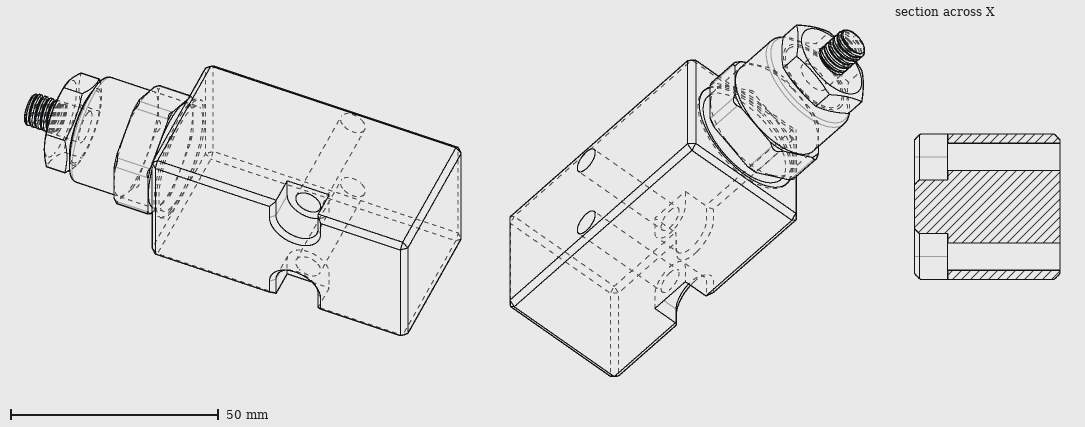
import cadquery as cq
import math


block_length = 67.0
block_side = 35.0
block_chamfer = 1.4

mount_x = 38.0
mount_spacing = 24.0
mount_hole_diameter = 6.5
pocket_width = 11.0
pocket_depth = 8.0
pocket_chamfer = 1.2
pocket_chamfer_angle = 45.0

recess_diameter = 30.0
recess_depth = 0.5

sleeve_diameter = 26.6
sleeve_seat_diameter = 18.2
sleeve_nose_angle = 20.0
sleeve_nose_radius = 1.0

lock_nut_flats = 27.0
lock_nut_width = 9.0
lock_nut_corner_radius = 2.4
lock_nut_gap = 2.2
lock_nut_left_chamfer = 0.7
lock_nut_right_chamfer = 0.35

stud_projection = 8.0
stud_diameter = 8.0
stud_tip_chamfer = 0.55
thread_pitch = 1.5
thread_depth = 0.5
thread_lead_in = 2.1
groove_mouth_width = 1.1
groove_root_width = 0.2
groove_overcut = 0.1

jam_nut_flats = 21.0
jam_nut_width = 6.5
jam_nut_face_diameter = 19.4
jam_nut_chamfer_angle = 19.0

jam_nut_left = -31.0
jam_nut_right = jam_nut_left + jam_nut_width
stud_tip = jam_nut_left - stud_projection
lock_nut_right = -lock_nut_gap
lock_nut_left = lock_nut_right - lock_nut_width


def axial_cylinder(diameter, start, end):
    """Cylinder on the X axis between two X positions."""
    return cq.Workplane("YZ", origin=(start, 0, 0)).circle(diameter / 2).extrude(end - start)


def across_corners(flats):
    """Distance between opposite corners of a hexagon with the given distance across flats."""
    return flats / math.cos(math.pi / 6)


def axial_hexagon(flats, start, end):
    """Hexagonal prism on the X axis, with two flats facing -Y and +Y and corners at -Z and +Z."""
    sketch = cq.Workplane("YZ", origin=(start, 0, 0)).transformed(rotate=(0, 0, 90))
    return sketch.polygon(6, across_corners(flats)).extrude(end - start)


def revolve_about_x(outline):
    """Turned solid from a closed outline of (x, radius) points."""
    return cq.Workplane("XY").polyline(outline).close().revolve(360, (0, 0, 0), (1, 0, 0))


def make_block():
    block = cq.Workplane("XY").box(block_length, block_side, block_side, centered=(False, True, True))
    block = block.edges().chamfer(block_chamfer)
    for side in (-1, 1):
        block = block.cut(mount_cutter(side))
    return block.cut(axial_cylinder(recess_diameter, 0, recess_depth))


def pocket_outline(y, width, side):
    """Round-ended slot outline in the plane Y = y, open to the block's top (1) or bottom (-1)."""
    centre_z = side * mount_spacing / 2
    open_z = side * block_side
    half = width / 2
    plane = cq.Plane(origin=(mount_x, y, 0), xDir=(1, 0, 0), normal=(0, -1, 0))
    return (
        cq.Workplane(plane)
        .moveTo(-half, open_z)
        .lineTo(-half, centre_z)
        .threePointArc((0, centre_z - side * half), (half, centre_z))
        .lineTo(half, open_z)
        .close()
    )


def mount_cutter(side):
    """Material removed for one mounting hole: through hole, pocket and its chamfered mouth."""
    front = -block_side / 2
    back = block_side / 2
    hole = (
        cq.Workplane("XZ", origin=(mount_x, back, side * mount_spacing / 2))
        .circle(mount_hole_diameter / 2)
        .extrude(block_side)
    )
    pocket = pocket_outline(front + pocket_depth, pocket_width, side).extrude(pocket_depth)
    mouth_width = pocket_width + 2 * pocket_chamfer
    mouth = pocket_outline(front, mouth_width, side).extrude(-pocket_chamfer, taper=pocket_chamfer_angle)
    return hole.union(pocket).union(mouth)


def make_sleeve():
    radius = sleeve_diameter / 2
    seat = sleeve_seat_diameter / 2
    nose_end = jam_nut_right + (radius - seat) * math.tan(math.radians(sleeve_nose_angle))
    sleeve = revolve_about_x(
        [
            (jam_nut_right, 0),
            (jam_nut_right, seat),
            (nose_end, radius),
            (recess_depth, radius),
            (recess_depth, 0),
        ]
    )
    rim = sleeve.faces("%CONE").edges("%CIRCLE").edges(">X")
    return rim.fillet(sleeve_nose_radius)


def make_lock_nut():
    blank = axial_hexagon(lock_nut_flats, lock_nut_left, lock_nut_right)
    blank = blank.edges("|X").fillet(lock_nut_corner_radius)
    sharp_corner = across_corners(lock_nut_flats) / 2
    rounding_loss = across_corners(lock_nut_corner_radius) - lock_nut_corner_radius
    corner = sharp_corner - rounding_loss
    envelope = revolve_about_x(
        [
            (lock_nut_left, 0),
            (lock_nut_left, corner - lock_nut_left_chamfer),
            (lock_nut_left + lock_nut_left_chamfer, corner),
            (lock_nut_right - lock_nut_right_chamfer, corner),
            (lock_nut_right, corner - lock_nut_right_chamfer),
            (lock_nut_right, 0),
        ]
    )
    return blank.intersect(envelope).cut(axial_cylinder(sleeve_diameter, lock_nut_left, lock_nut_right))


def make_jam_nut():
    face = jam_nut_face_diameter / 2
    rim = across_corners(jam_nut_flats) / 2
    slope = (rim - face) * math.tan(math.radians(jam_nut_chamfer_angle))
    blank = axial_hexagon(jam_nut_flats, jam_nut_left, jam_nut_right)
    envelope = revolve_about_x(
        [
            (jam_nut_left, 0),
            (jam_nut_left, face),
            (jam_nut_left + slope, rim),
            (jam_nut_right - slope, rim),
            (jam_nut_right, face),
            (jam_nut_right, 0),
        ]
    )
    return blank.intersect(envelope).cut(axial_cylinder(stud_diameter, jam_nut_left, jam_nut_right))


def thread_groove():
    """Right-handed helical V groove that starts ahead of the stud tip and ends at the jam nut."""
    start = stud_tip - thread_lead_in
    groove_length = thread_lead_in + stud_projection + thread_pitch
    radius = stud_diameter / 2
    root_depth = -thread_depth
    half_mouth = groove_mouth_width / 2
    half_root = groove_root_width / 2
    axis = cq.Vector(1, 0, 0)
    helix = cq.Wire.makeHelix(thread_pitch, groove_length, radius, cq.Vector(start, 0, 0), axis)
    start_point = helix.startPoint()
    outward = cq.Vector(0, start_point.y, start_point.z)
    section = (
        cq.Workplane(cq.Plane(origin=start_point, xDir=axis, normal=axis.cross(outward)))
        .moveTo(-half_mouth, groove_overcut)
        .lineTo(half_mouth, groove_overcut)
        .lineTo(half_root, root_depth)
        .lineTo(-half_root, root_depth)
        .close()
    )
    groove = section.sweep(cq.Workplane(helix), isFrenet=True)
    return groove.intersect(axial_cylinder(2 * stud_diameter, start, jam_nut_left))


def make_stud():
    stud = axial_cylinder(stud_diameter, stud_tip, jam_nut_right).faces("<X").chamfer(stud_tip_chamfer)
    return stud.cut(thread_groove())


block = make_block()
sleeve = make_sleeve()
lock_nut = make_lock_nut()
jam_nut = make_jam_nut()
stud = make_stud()

result = cq.Compound.makeCompound([block.val(), sleeve.val(), lock_nut.val(), jam_nut.val(), stud.val()])